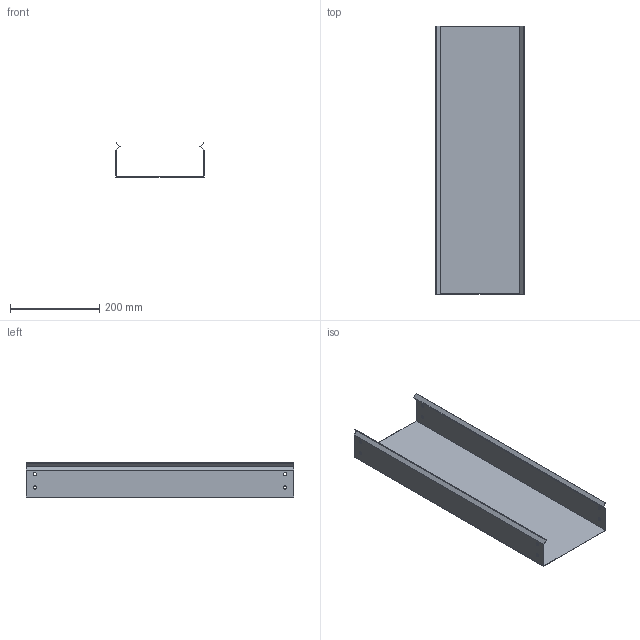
import cadquery as cq
import math

width = 197.74
length = 600.0
height = 76.25

thickness = 1.0
wall_height = 60.4
fold_angle = 45.0
lip_setback = 0.7

hole_diameter = 7.0
hole_end_distance = 20.0
hole_heights = (21.4, 51.4)

half_width = width / 2
half_length = length / 2
slope = math.radians(fold_angle)

outer_tip_x = half_width - lip_setback
outer_tip_z = height - thickness * math.cos(slope)

groove_depth = ((outer_tip_z - wall_height) / math.tan(slope) + lip_setback) / 2
groove_x = half_width - groove_depth
groove_z = wall_height + groove_depth * math.tan(slope)

wall_mitre_drop = thickness * math.tan((math.pi / 2 - slope) / 2)
groove_mitre = thickness / math.sin(slope)


def right_side_points():
    """Half outline at +X: outer face from the base up, then inner face back down."""
    outer_face = [
        (half_width, 0),
        (half_width, wall_height),
        (groove_x, groove_z),
        (outer_tip_x, outer_tip_z),
    ]
    inner_face = [
        (outer_tip_x - thickness * math.sin(slope), height),
        (groove_x - groove_mitre, groove_z),
        (half_width - thickness, wall_height - wall_mitre_drop),
        (half_width - thickness, thickness),
    ]
    return outer_face + inner_face


def make_channel():
    """Symmetrical folded channel running along Y."""
    right = right_side_points()
    left = [(-x, z) for x, z in reversed(right)]
    outline = cq.Workplane("XZ").polyline(right + left).close()
    return outline.extrude(half_length, both=True)


def make_hole_cutters():
    """Rods along X that pierce both walls near each end."""
    end_offset = half_length - hole_end_distance
    centres = [(y, z) for y in (-end_offset, end_offset) for z in hole_heights]
    rods = cq.Workplane("YZ").pushPoints(centres).circle(hole_diameter / 2)
    return rods.extrude(width, both=True)


result = make_channel().cut(make_hole_cutters())